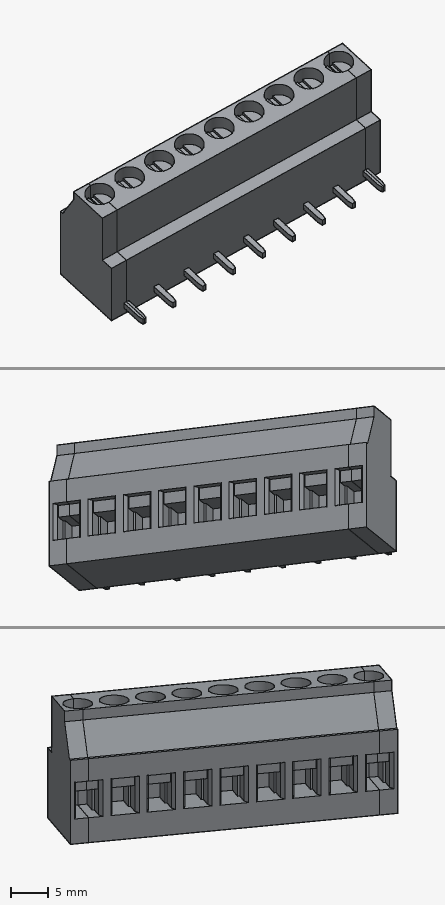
import cadquery as cq

block_length = 45.7
pole_count = 9
pole_pitch = block_length / pole_count
pole_positions = [(i - (pole_count - 1) / 2) * pole_pitch for i in range(pole_count)]

total_depth = 15.2
housing_height = 18.0
pin_length = 4.0
housing_depth = total_depth - pin_length
entry_face_height = 12.0
ledge_depth = 0.5
crown_front = 2.9
slope_top_height = 16.5
crown_rear = 9.2
shelf_height = 10.0

well_diameter = 4.0
well_depth = 2.0
well_x = 5.35
driver_slot_width = 0.82
driver_slot_depth = 0.4

mouth_width = 4.0
chamber_width = 3.2
channel_width = 2.6
entry_floor = 3.55
mouth_top = 8.8
chamber_top = 7.15
flare_depth = 0.75
mouth_depth = 1.1
chamber_depth = 2.85
channel_depth = well_x

pin_width = 0.82
pin_thickness = 0.95
pin_bottom = 1.1
pin_tip_width = 0.5
pin_tip_length = 0.82

parting_y = pole_positions[-1]
end_y = block_length / 2


def housing_blank():
    profile = [
        (0, 0),
        (housing_depth, 0),
        (housing_depth, shelf_height),
        (crown_rear, shelf_height),
        (crown_rear, housing_height),
        (crown_front, housing_height),
        (crown_front, slope_top_height),
        (ledge_depth, entry_face_height),
        (0, entry_face_height),
    ]
    return cq.Workplane("XZ").polyline(profile).close().extrude(block_length / 2, both=True)


def screw_well(y):
    floor_z = housing_height - well_depth
    well = (
        cq.Workplane("XY", origin=(well_x, y, floor_z))
        .circle(well_diameter / 2)
        .extrude(well_depth)
    )
    slot_bar = cq.Workplane("XY").box(
        well_diameter, driver_slot_width, driver_slot_depth, centered=(True, True, False)
    )
    slot_disc = cq.Workplane("XY").circle(well_diameter / 2).extrude(driver_slot_depth)
    slot = slot_bar.intersect(slot_disc).translate((well_x, y, floor_z - driver_slot_depth))
    return well.union(slot)


def wire_entry(y):
    mouth_plan = [
        (0, -mouth_width / 2),
        (flare_depth, -chamber_width / 2),
        (mouth_depth, -chamber_width / 2),
        (mouth_depth, chamber_width / 2),
        (flare_depth, chamber_width / 2),
        (0, mouth_width / 2),
    ]
    floor = cq.Workplane("XY", origin=(0, y, entry_floor))
    mouth = floor.polyline(mouth_plan).close().extrude(mouth_top - entry_floor)
    lower_height = chamber_top - entry_floor
    from_mouth = (False, True, False)
    chamber = floor.center(flare_depth, 0).box(
        chamber_depth - flare_depth, chamber_width, lower_height, centered=from_mouth
    )
    channel = floor.center(flare_depth, 0).box(
        channel_depth - flare_depth, channel_width, lower_height, centered=from_mouth
    )
    return mouth.union(chamber).union(channel)


def contact_pin(y):
    tip_start = total_depth - pin_tip_length
    plan = [
        (housing_depth, -pin_width / 2),
        (tip_start, -pin_width / 2),
        (total_depth, -pin_tip_width / 2),
        (total_depth, pin_tip_width / 2),
        (tip_start, pin_width / 2),
        (housing_depth, pin_width / 2),
    ]
    return cq.Workplane("XY", origin=(0, y, pin_bottom)).polyline(plan).close().extrude(pin_thickness)


def terminal_strip():
    strip = housing_blank()
    for y in pole_positions:
        strip = strip.cut(screw_well(y)).cut(wire_entry(y)).union(contact_pin(y))
    return strip


def strip_section(strip, y_start, y_stop):
    slab = cq.Workplane("XY", origin=(0, y_start, 0)).box(
        total_depth, y_stop - y_start, housing_height, centered=False
    )
    return strip.intersect(slab, clean=False)


strip = terminal_strip()

middle_section = strip_section(strip, -parting_y, parting_y)

end_spans = [(-end_y, -parting_y), (parting_y, end_y)]
end_sections = [strip_section(strip, y_start, y_stop) for y_start, y_stop in end_spans]

result = cq.Compound.makeCompound([middle_section.val(), *[end.val() for end in end_sections]])